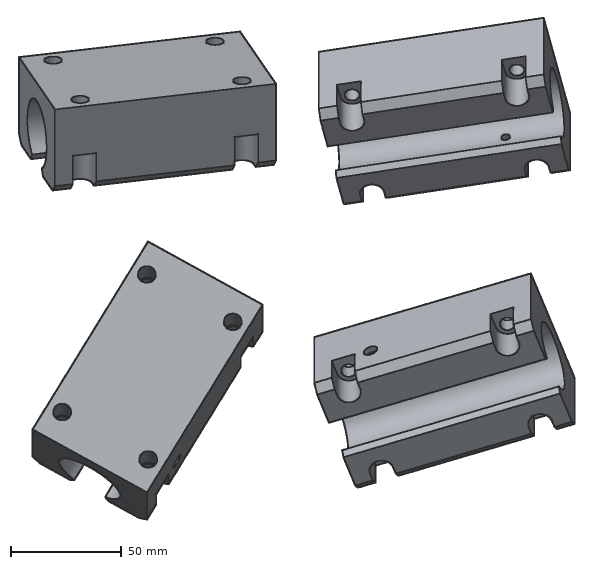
import cadquery as cq
import math

width = 60.0
length = 104.0
height = 42.0
edge_chamfer = 4.0

bore_radius = 16.0
bore_height = 17.1
gap_half_angle = math.radians(30)

hole_spacing_x = 45.0
hole_spacing_y = 76.1
thread_diameter = 8.0
thread_depth = 16.0
core_diameter = 6.8
relief_width = 11.0
relief_height = 18.0

port_y = 25.0
port_diameter = 4.0
port_recess_diameter = 6.5
port_recess_depth = 3.0


def make_block():
    block = cq.Workplane("XY").box(width, length, height, centered=(True, True, False))
    return block.faces("<Z").edges("|Y").chamfer(edge_chamfer)


def make_bore():
    """Cylinder along Y plus the wedge that opens it downwards."""
    start = cq.Workplane("XZ", origin=(0, length / 2, 0))
    cylinder = start.center(0, bore_height).circle(bore_radius).extrude(length)
    gap_half_width = bore_height * math.tan(gap_half_angle)
    wedge_points = [(0, bore_height), (-gap_half_width, 0), (gap_half_width, 0)]
    wedge = start.polyline(wedge_points).close().extrude(length)
    return cylinder.union(wedge)


def make_mounting_hole(side, y):
    """Stepped vertical hole with a round-ended relief open to one side (-1 or +1)."""
    x = side * hole_spacing_x / 2
    base = cq.Workplane("XY", origin=(x, y, 0))
    core = base.circle(core_diameter / 2).extrude(height)
    thread = base.workplane(offset=height).circle(thread_diameter / 2).extrude(-thread_depth)
    relief_end = base.circle(relief_width / 2).extrude(relief_height)
    run_out = width / 2 - abs(x)
    relief_run = base.center(side * run_out / 2, 0).rect(run_out, relief_width).extrude(relief_height)
    return core.union(thread).union(relief_end).union(relief_run)


def make_port():
    start = cq.Workplane("YZ", origin=(-width / 2, port_y, bore_height))
    passage = start.circle(port_diameter / 2).extrude(width / 2)
    recess = start.circle(port_recess_diameter / 2).extrude(port_recess_depth)
    return passage.union(recess)


result = make_block().cut(make_bore()).cut(make_port())
for side in (-1, 1):
    for y in (-hole_spacing_y / 2, hole_spacing_y / 2):
        result = result.cut(make_mounting_hole(side, y))